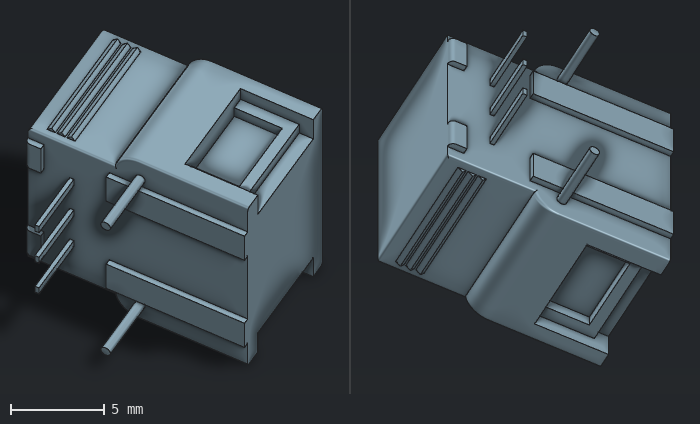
import cadquery as cq


length = 13.5
depth = 8.2
height = 13.0
rear_height = 10.62
rear_length = 5.3
shoulder_radius = 1.5
edge_radius = 0.2

foot_thickness = 0.35
foot_nose_radius = 0.34
foot_width = 2.0
foot_offset = 3.6
short_foot_length = 1.0
long_foot_start = 5.01

ridge_count = 3
ridge_pitch = 0.61
ridge_start = 0.9
ridge_width = 0.5
ridge_peak = 0.28
ridge_height = 0.24
ridge_end_margin = 0.5

recess_start = 9.03
recess_width = 6.06
recess_centre_y = 4.15
shelf_depth = 0.88
shelf_end = 12.64
lip_depth = 1.58
pocket_end = 11.97
pocket_width = 4.68
pocket_depth = 0.7

pin_length = 3.81
peg_diameter = 0.6
peg_x = 6.91
peg_offset = 5.18
lead_count = 3
lead_pitch = 2.54
lead_x = 2.7
lead_thickness = 0.25
lead_width = 0.5

half_height = height / 2
half_rear = rear_height / 2
both_sides = (1, -1)


def block(x_range, y_range, z_range):
    """Axis-aligned box between two limits on each axis."""
    (x0, x1), (y0, y1), (z0, z1) = x_range, y_range, sorted(z_range)
    return cq.Workplane("XY").box(x1 - x0, y1 - y0, z1 - z0, centered=False).translate((x0, y0, z0))


def around(centre, size):
    """Limits of a span of the given size about its centre."""
    return centre - size / 2, centre + size / 2


def make_shell():
    """Housing block with round shoulders and softened outer edges."""
    arc_centre_z = half_height - shoulder_radius
    arc_rise = half_rear - arc_centre_z
    arc_centre_x = rear_length + (shoulder_radius**2 - arc_rise**2) ** 0.5
    diagonal = shoulder_radius * 0.5**0.5
    arc_mid = (arc_centre_x - diagonal, arc_centre_z + diagonal)

    shell = (
        cq.Workplane("XZ")
        .moveTo(0, -half_rear)
        .lineTo(0, half_rear)
        .lineTo(rear_length, half_rear)
        .threePointArc(arc_mid, (arc_centre_x, half_height))
        .lineTo(length, half_height)
        .lineTo(length, -half_height)
        .lineTo(arc_centre_x, -half_height)
        .threePointArc((arc_mid[0], -arc_mid[1]), (rear_length, -half_rear))
        .close()
        .extrude(-depth)
    )
    end_edges = shell.faces("<X").edges("|Y")
    back_edges = shell.faces(">Y").edges("not >X")
    mounting_edges = shell.faces("<Y").edges("not(<X or >X)")
    return end_edges.add(back_edges).add(mounting_edges).fillet(edge_radius)


def make_feet(side):
    """Short round-nosed foot and long foot on one side of the middle plane."""
    foot_y = (-foot_thickness, 0)
    foot_z = around(side * foot_offset, foot_width)
    short_foot = block((0, short_foot_length), foot_y, foot_z)
    nose = short_foot.edges("<X and <Y")
    short_foot = nose.fillet(foot_nose_radius)
    return short_foot.union(block((long_foot_start, length), foot_y, foot_z))


def make_ridges(side):
    """Row of triangular grip ridges on one rear face."""
    base_z = side * half_rear
    ridges = cq.Workplane("XZ", origin=(0, ridge_end_margin, 0))
    for index in range(ridge_count):
        start = ridge_start + index * ridge_pitch
        ridges = (
            ridges.moveTo(start, base_z)
            .lineTo(start + ridge_peak, base_z + side * ridge_height)
            .lineTo(start + ridge_width, base_z)
            .close()
        )
    return ridges.extrude(2 * ridge_end_margin - depth)


def make_recess(side):
    """Volume removed from one shoulder: shelf, deeper lip and pocket in the shelf."""
    top = side * half_height
    shelf_z = top - side * shelf_depth
    recess_y = around(recess_centre_y, recess_width)
    pocket_y = around(recess_centre_y, pocket_width)
    shelf = block((recess_start, length), recess_y, (shelf_z, top))
    lip = block((shelf_end, length), recess_y, (top - side * lip_depth, top))
    pocket = block((recess_start, pocket_end), pocket_y, (shelf_z - side * pocket_depth, top))
    return shelf.union(lip).union(pocket)


def make_peg(side):
    """Round locating peg standing out from the mounting face."""
    base = cq.Workplane("XZ").center(peg_x, side * peg_offset)
    return base.circle(peg_diameter / 2).extrude(pin_length)


def make_housing():
    """Housing with its feet, ridges, recesses and locating pegs."""
    housing = make_shell()
    for side in both_sides:
        housing = housing.union(make_feet(side))
        housing = housing.union(make_ridges(side))
        housing = housing.union(make_peg(side))
        housing = housing.cut(make_recess(side))
    return housing


def make_lead(index):
    """Flat contact lead ending on the mounting face."""
    lead_z = (index - (lead_count - 1) / 2) * lead_pitch
    return block(around(lead_x, lead_thickness), (-pin_length, 0), around(lead_z, lead_width))


housing = make_housing()
leads = [make_lead(index) for index in range(lead_count)]
result = cq.Compound.makeCompound([housing.val(), *[lead.val() for lead in leads]])